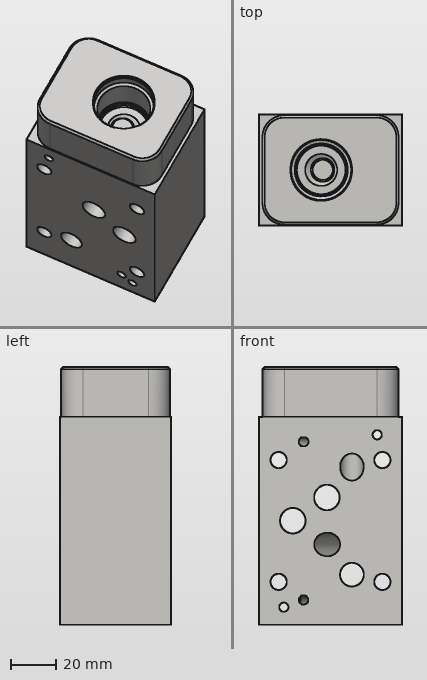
import cadquery as cq
import math

TOTAL_HEIGHT = 114.3
BLOCK_WIDTH = 63.5
BLOCK_DEPTH = 49.3
BLOCK_HEIGHT = 92.1
FRONT_Y = -BLOCK_DEPTH / 2
BLOCK_MID_Z = BLOCK_HEIGHT / 2

CAP_HEIGHT = TOTAL_HEIGHT - BLOCK_HEIGHT
CAP_SIDE_MARGIN = 1.6
CAP_FRONT_MARGIN = 0.5
CAP_WIDTH = BLOCK_WIDTH - 2 * CAP_SIDE_MARGIN
CAP_DEPTH = BLOCK_DEPTH - 2 * CAP_FRONT_MARGIN
CAP_CORNER_RADIUS = 9.6
CAP_EDGE_CHAMFER = 1.0

PORT_X = -4.1
MOUTH_RADIUS = 13.7
MOUTH_DEPTH = 1.0
SEAL_RADIUS = 13.3
SEAL_TOP_DEPTH = 1.6
SEAL_BOTTOM_DEPTH = 5.3
BORE_RADIUS = 11.8
BORE_TOP_DEPTH = 5.8
LOWER_BORE_RADIUS = 11.3
LOWER_BORE_DEPTH = 20.0
EXIT_RADIUS = 10.7

RECESS_RADIUS = 7.1
RECESS_BOTTOM_RADIUS = 4.6
RECESS_SLOPE = 31.0
RECESS_DEPTH = (RECESS_RADIUS - RECESS_BOTTOM_RADIUS) * math.tan(math.radians(RECESS_SLOPE))
STUD_X = PORT_X + 0.7
STUD_RADIUS = 5.3
STUD_CHAMFER = 0.8

MOUNT_DIAMETER = 7.1
MOUNT_SPACING_X = 46.0
MOUNT_SPACING_Z = 54.0
PIN_DIAMETER = 4.0
PIN_OFFSET_X = 20.7
PIN_OFFSET_Z = 38.2
FLOW_DIAMETER = 11.2
FLOW_CENTRES = [(-1.6, 56.5), (-16.7, 46.2)]
SIDE_FLOW_DIAMETER = 10.4
SIDE_FLOW_X = 9.5
SIDE_FLOW_Z = 22.3

RISING_Z = 70.0
RISING_ANGLE = 30.0
RISING_LENGTH = 25.1
CROSS_X = -1.5
CROSS_Z = 35.7
CROSS_ANGLE = 25.0
CROSS_LENGTH = 30.9
DRAIN_X = -11.9
DRAIN_DIAMETER = 4.1
UPPER_DRAIN_Z = 81.2
UPPER_DRAIN_ANGLE = -20.0
UPPER_DRAIN_LENGTH = 16.0
LOWER_DRAIN_Z = 11.1
LOWER_DRAIN_ANGLE = -4.0

LEAD_IN = 9.1


def through_holes(centres, diameter):
    """Cylinders along Y through the whole block, at (x, z) centres."""
    front = cq.Workplane("XZ", origin=(0, FRONT_Y, 0))
    return front.pushPoints(centres).circle(diameter / 2).extrude(-BLOCK_DEPTH)


def slanted_hole(x, z, diameter, length, right_angle=0.0, up_angle=0.0):
    """Cylinder entering the front face at (x, z) and leaning to +X and +Z by the angles given."""
    lean_x = math.tan(math.radians(right_angle))
    lean_z = math.tan(math.radians(up_angle))
    axis = cq.Vector(lean_x, 1, lean_z).normalized()
    start = cq.Vector(x, FRONT_Y, z) - axis * LEAD_IN
    cylinder = cq.Solid.makeCylinder(diameter / 2, length + LEAD_IN, start, axis)
    return cq.Workplane(cylinder)


def recess_with_stud():
    """Cutter for the conical recess, leaving the off-centre stud flush with the block's top."""
    recess = cq.Workplane(cq.Solid.makeCone(
        RECESS_BOTTOM_RADIUS, RECESS_RADIUS, RECESS_DEPTH,
        cq.Vector(PORT_X, 0, BLOCK_HEIGHT - RECESS_DEPTH),
    ))
    stud = (
        cq.Workplane("XY", origin=(STUD_X, 0, BLOCK_HEIGHT - RECESS_DEPTH))
        .circle(STUD_RADIUS)
        .extrude(RECESS_DEPTH)
        .faces(">Z")
        .chamfer(STUD_CHAMFER)
    )
    return recess.cut(stud)


def make_block():
    block = cq.Workplane("XY").box(
        BLOCK_WIDTH, BLOCK_DEPTH, BLOCK_HEIGHT, centered=(True, True, False)
    )
    mount_centres = [
        (side * MOUNT_SPACING_X / 2, BLOCK_MID_Z + end * MOUNT_SPACING_Z / 2)
        for side in (-1, 1)
        for end in (-1, 1)
    ]
    pin_centres = [(end * PIN_OFFSET_X, BLOCK_MID_Z + end * PIN_OFFSET_Z) for end in (-1, 1)]
    lower_drain_length = BLOCK_DEPTH / math.cos(math.radians(LOWER_DRAIN_ANGLE)) + LEAD_IN
    cutters = [
        through_holes(mount_centres, MOUNT_DIAMETER),
        through_holes(pin_centres, PIN_DIAMETER),
        through_holes(FLOW_CENTRES, FLOW_DIAMETER),
        through_holes([(SIDE_FLOW_X, SIDE_FLOW_Z)], SIDE_FLOW_DIAMETER),
        slanted_hole(SIDE_FLOW_X, RISING_Z, SIDE_FLOW_DIAMETER, RISING_LENGTH, up_angle=RISING_ANGLE),
        slanted_hole(CROSS_X, CROSS_Z, SIDE_FLOW_DIAMETER, CROSS_LENGTH, right_angle=CROSS_ANGLE),
        slanted_hole(
            DRAIN_X, UPPER_DRAIN_Z, DRAIN_DIAMETER, UPPER_DRAIN_LENGTH, right_angle=UPPER_DRAIN_ANGLE
        ),
        slanted_hole(
            DRAIN_X, LOWER_DRAIN_Z, DRAIN_DIAMETER, lower_drain_length, right_angle=LOWER_DRAIN_ANGLE
        ),
        recess_with_stud(),
    ]
    for cutter in cutters:
        block = block.cut(cutter)
    return block


def port_cutter():
    """Stepped port through the cap, turned round the vertical axis at PORT_X."""
    lower_bore_z = TOTAL_HEIGHT - LOWER_BORE_DEPTH
    profile = [
        (0, TOTAL_HEIGHT),
        (MOUTH_RADIUS, TOTAL_HEIGHT),
        (MOUTH_RADIUS, TOTAL_HEIGHT - MOUTH_DEPTH),
        (SEAL_RADIUS, TOTAL_HEIGHT - SEAL_TOP_DEPTH),
        (SEAL_RADIUS, TOTAL_HEIGHT - SEAL_BOTTOM_DEPTH),
        (BORE_RADIUS, TOTAL_HEIGHT - BORE_TOP_DEPTH),
        (BORE_RADIUS, lower_bore_z + BORE_RADIUS - LOWER_BORE_RADIUS),
        (LOWER_BORE_RADIUS, lower_bore_z),
        (LOWER_BORE_RADIUS, BLOCK_HEIGHT + LOWER_BORE_RADIUS - EXIT_RADIUS),
        (EXIT_RADIUS, BLOCK_HEIGHT),
        (0, BLOCK_HEIGHT),
    ]
    port = cq.Workplane("XZ").polyline(profile).close().revolve(360, (0, 0, 0), (0, 1, 0))
    return port.translate((PORT_X, 0, 0))


def make_cap():
    cap = (
        cq.Workplane("XY", origin=(0, 0, BLOCK_HEIGHT))
        .rect(CAP_WIDTH, CAP_DEPTH)
        .extrude(CAP_HEIGHT)
        .edges("|Z")
        .fillet(CAP_CORNER_RADIUS)
        .faces(">Z")
        .chamfer(CAP_EDGE_CHAMFER)
    )
    return cap.cut(port_cutter())


block = make_block()
cap = make_cap()
result = cq.Compound.makeCompound([block.val(), cap.val()])